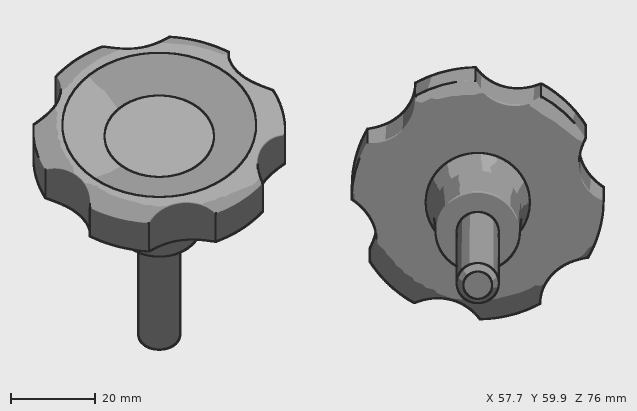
import cadquery as cq
import math

total_height = 76.0
head_height = 13.7
neck_top = total_height - head_height
neck_break = 54.5
neck_bottom = 40.05

head_radius = 29.95
head_edge_round = 0.3
rim_drop = 1.8
crest_radius = 23.0
dish_floor_radius = 13.0
dish_depth = 4.0
lobe_count = 6
notch_radius = 11.0
notch_inner_reach = 25.4

neck_top_radius = 12.4
neck_break_radius = 10.5
neck_bottom_radius = 10.0
neck_edge_round = 0.45

stud_diameter = 10.0
stud_chamfer = 1.6


def crown_point(radius, edge_radius, drop):
    """Point on the crown arc, which is level at the crest and falls by drop at edge_radius."""
    span = edge_radius - crest_radius
    arc_radius = (span**2 + drop**2) / (2 * drop)
    fall = arc_radius - math.sqrt(arc_radius**2 - (radius - crest_radius) ** 2)
    return radius, total_height - fall


def mirrored_below(point):
    """Reflect a profile point about the mid-height of the head."""
    radius, height = point
    return radius, total_height + neck_top - height


def is_outline_edge(edge):
    """True for edges lying wholly outside the crest circle."""
    middle = edge.positionAt(0.5)
    return math.hypot(middle.x, middle.y) > (crest_radius + notch_inner_reach) / 2


def make_head():
    rim_middle = crown_point((crest_radius + head_radius) / 2, head_radius, rim_drop)
    rim_edge = (head_radius, total_height - rim_drop)
    crest = (crest_radius, total_height)
    dish_floor = total_height - dish_depth
    head = (
        cq.Workplane("XZ")
        .moveTo(0, neck_top)
        .lineTo(*mirrored_below(crest))
        .threePointArc(mirrored_below(rim_middle), mirrored_below(rim_edge))
        .lineTo(*rim_edge)
        .threePointArc(rim_middle, crest)
        .lineTo(dish_floor_radius, dish_floor)
        .lineTo(0, dish_floor)
        .close()
        .revolve(360, (0, 0, 0), (0, 1, 0))
    )
    notches = (
        cq.Workplane("XY", origin=(0, 0, neck_top))
        .polarArray(notch_inner_reach + notch_radius, 0, 360, lobe_count)
        .circle(notch_radius)
        .extrude(head_height)
    )
    head = head.cut(notches)
    outline_edges = head.edges("not |Z").filter(is_outline_edge)
    return outline_edges.fillet(head_edge_round)


def make_neck():
    neck = (
        cq.Workplane("XZ")
        .moveTo(0, neck_bottom)
        .lineTo(neck_bottom_radius, neck_bottom)
        .lineTo(neck_break_radius, neck_break)
        .lineTo(neck_top_radius, neck_top)
        .lineTo(0, neck_top)
        .close()
        .revolve(360, (0, 0, 0), (0, 1, 0))
    )
    return neck.faces("<Z").edges().fillet(neck_edge_round)


def make_stud():
    stud = cq.Workplane("XY").circle(stud_diameter / 2).extrude(neck_bottom)
    return stud.faces("<Z").edges().chamfer(stud_chamfer)


result = make_head().union(make_neck()).union(make_stud())